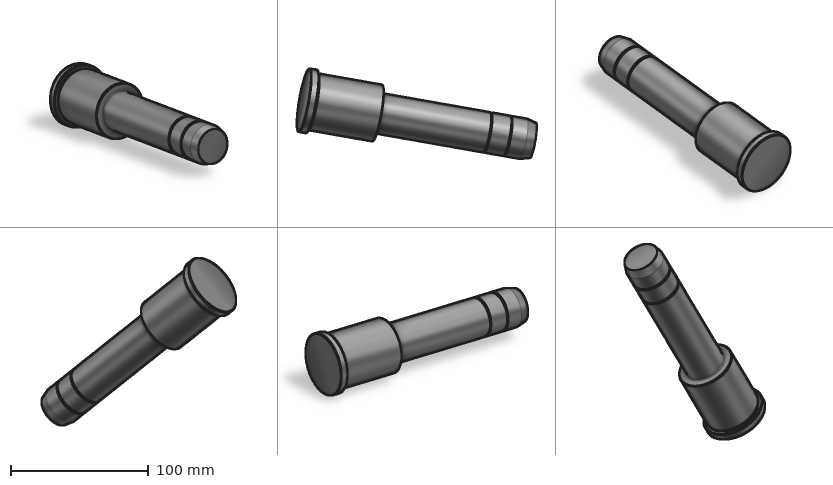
import cadquery as cq
import math

total_length = 171.0
head_length = 6.0
body_end = 55.0
taper_length = 7.0

head_diameter = 47.0
body_diameter = 42.0
pin_diameter = 30.0
taper_angle = 15.0
tip_diameter = pin_diameter - 2 * taper_length * math.tan(math.radians(taper_angle))

edge_size = 0.5

neck_width = 1.0
neck_diameter = body_diameter - 2 * edge_size

ring_groove_centers = (137.0, 152.0)
ring_groove_radius = edge_size


def cylinder(start, end, diameter):
    """Solid cylinder about the X axis between two stations."""
    return cq.Workplane("YZ").workplane(offset=start).circle(diameter / 2).extrude(end - start)


def frustum(start, end, start_diameter, end_diameter):
    """Solid cone frustum about the X axis between two stations."""
    cone = cq.Solid.makeCone(
        start_diameter / 2, end_diameter / 2, end - start,
        pnt=cq.Vector(start, 0, 0), dir=cq.Vector(1, 0, 0),
    )
    return cq.Workplane(obj=cone)


def ring(center, diameter, radius):
    """Torus about the X axis that cuts a half-round groove."""
    torus = cq.Solid.makeTorus(diameter / 2, radius, cq.Vector(center, 0, 0), cq.Vector(1, 0, 0))
    return cq.Workplane(obj=torus)


def make_head():
    """Head disc with both rims chamfered."""
    return cylinder(0, head_length, head_diameter).edges().chamfer(edge_size)


def make_body():
    """Relief neck followed by the body, whose far rim is chamfered."""
    body_start = head_length + neck_width
    neck = cylinder(head_length, body_start, neck_diameter)
    body = cylinder(body_start, body_end, body_diameter)
    body = body.faces(">X").edges().chamfer(edge_size)
    return neck.union(body)


def make_pin():
    """Pin with a tapered tip and half-round ring grooves."""
    taper_start = total_length - taper_length
    pin = cylinder(body_end, taper_start, pin_diameter)
    pin = pin.union(frustum(taper_start, total_length, pin_diameter, tip_diameter))
    for center in ring_groove_centers:
        pin = pin.cut(ring(center, pin_diameter, ring_groove_radius))
    return pin


def fillet_root(part):
    """Round the inner corner where the pin leaves the body."""
    reach = pin_diameter / 2 + edge_size
    around_root = cq.selectors.BoxSelector(
        (body_end - edge_size, -reach, -reach),
        (body_end + edge_size, reach, reach),
        boundingbox=True,
    )
    return part.edges(around_root).fillet(edge_size)


result = fillet_root(make_head().union(make_body()).union(make_pin()))